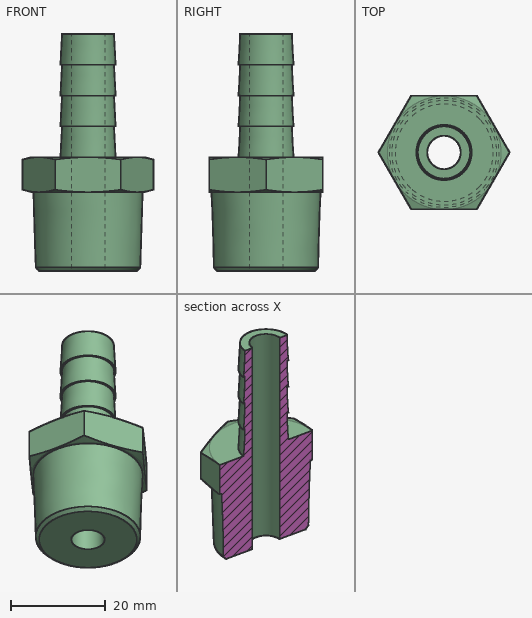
import cadquery as cq
import math

total_height = 50.0
barb_count = 4
barb_pitch = 6.5
hex_height = 7.35
hex_top = total_height - barb_count * barb_pitch
hex_bottom = hex_top - hex_height

across_flats = 24.0
across_corners = across_flats / math.cos(math.pi / 6)
hex_chamfer_angle = 15.0

thread_top_diameter = 23.1
thread_bottom_diameter = 22.1
thread_chamfer_height = 0.75
thread_chamfer_width = 0.75

barb_tip_diameter = 11.0
barb_base_diameter = 11.7
bore_diameter = 7.0


def revolve_about_z(points):
    """Revolve a closed (radius, height) outline about the Z axis."""
    return cq.Workplane("XZ").polyline(points).close().revolve(360, (0, 0), (0, 1))


def make_thread_body():
    top_radius = thread_top_diameter / 2
    bottom_radius = thread_bottom_diameter / 2
    return revolve_about_z([
        (0, 0),
        (bottom_radius - thread_chamfer_width, 0),
        (bottom_radius, thread_chamfer_height),
        (top_radius, hex_bottom),
        (0, hex_bottom),
    ])


def make_hex():
    """Hexagon with points on X, its corners chamfered conically at both ends."""
    prism = (
        cq.Workplane("XY")
        .workplane(offset=hex_bottom)
        .polygon(6, across_corners)
        .extrude(hex_height)
    )
    face_radius = across_flats / 2
    corner_radius = across_corners / 2
    chamfer_drop = (corner_radius - face_radius) * math.tan(math.radians(hex_chamfer_angle))
    envelope = revolve_about_z([
        (0, hex_bottom),
        (face_radius, hex_bottom),
        (corner_radius, hex_bottom + chamfer_drop),
        (corner_radius, hex_top - chamfer_drop),
        (face_radius, hex_top),
        (0, hex_top),
    ])
    return prism.intersect(envelope)


def make_barbs():
    """Stack of cones, each narrowing toward the hose end."""
    points = [(0, hex_top)]
    for index in range(barb_count):
        base = hex_top + index * barb_pitch
        points.append((barb_base_diameter / 2, base))
        points.append((barb_tip_diameter / 2, base + barb_pitch))
    points.append((0, total_height))
    return revolve_about_z(points)


bore = cq.Workplane("XY").circle(bore_diameter / 2).extrude(total_height)

result = make_thread_body().union(make_hex()).union(make_barbs()).cut(bore)